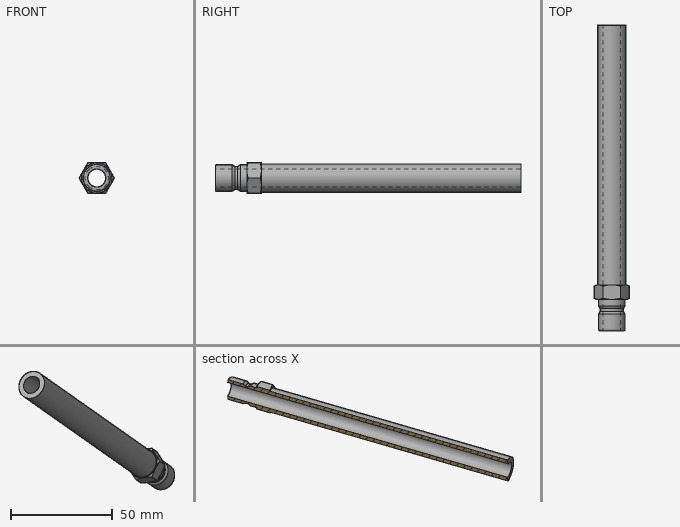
import cadquery as cq
import math

LENGTH = 150.0
NOSE_Y = -LENGTH / 2
TAIL_Y = LENGTH / 2

TUBE_DIAMETER = 14.0
NOSE_DIAMETER = 13.2
GROOVE_DIAMETER = 11.4
BORE_DIAMETER = 8.7

MOUTH_FILLET = 0.9

GROOVE_START = 8.2
GROOVE_WIDTH = 4.0
GROOVE_FLANK = 1.4
HEX_START = 15.5
HEX_WIDTH = 7.2

HEX_ACROSS_FLATS = 15.0
HEX_ACROSS_CORNERS = 17.2
HEX_FACE_DIAMETER = 14.8
HEX_CHAMFER_LENGTH = 0.6


def revolve_about_y(profile):
    """Revolve (radius, distance from nose end) points around the Y axis."""
    points = [(radius, NOSE_Y + distance) for radius, distance in profile]
    return cq.Workplane("XY").polyline(points).close().revolve(360, (0, 0, 0), (0, 1, 0))


def make_body():
    """Grooved nose and long plain tube, turned as one profile."""
    nose_radius = NOSE_DIAMETER / 2
    groove_radius = GROOVE_DIAMETER / 2
    tube_radius = TUBE_DIAMETER / 2
    groove_end = GROOVE_START + GROOVE_WIDTH
    hex_middle = HEX_START + HEX_WIDTH / 2
    body = revolve_about_y([
        (0, 0),
        (nose_radius, 0),
        (nose_radius, GROOVE_START),
        (groove_radius, GROOVE_START + GROOVE_FLANK),
        (groove_radius, groove_end - GROOVE_FLANK),
        (nose_radius, groove_end),
        (nose_radius, hex_middle),
        (tube_radius, hex_middle),
        (tube_radius, LENGTH),
        (0, LENGTH),
    ])
    return body.faces("<Y").edges().fillet(MOUTH_FILLET)


def make_hexagon():
    """Wrench hexagon with the corners turned off conically at both ends."""
    prism = (
        cq.Workplane("XZ", origin=(0, NOSE_Y + HEX_START, 0))
        .polygon(6, HEX_ACROSS_FLATS / math.cos(math.pi / 6))
        .extrude(-HEX_WIDTH)
    )
    face_radius = HEX_FACE_DIAMETER / 2
    corner_radius = HEX_ACROSS_CORNERS / 2
    hex_end = HEX_START + HEX_WIDTH
    envelope = revolve_about_y([
        (0, HEX_START),
        (face_radius, HEX_START),
        (corner_radius, HEX_START + HEX_CHAMFER_LENGTH),
        (corner_radius, hex_end - HEX_CHAMFER_LENGTH),
        (face_radius, hex_end),
        (0, hex_end),
    ])
    return prism.intersect(envelope)


def make_bore():
    """Straight bore through the whole length."""
    return cq.Workplane("XZ", origin=(0, TAIL_Y, 0)).circle(BORE_DIAMETER / 2).extrude(LENGTH)


result = make_body().union(make_hexagon()).cut(make_bore())